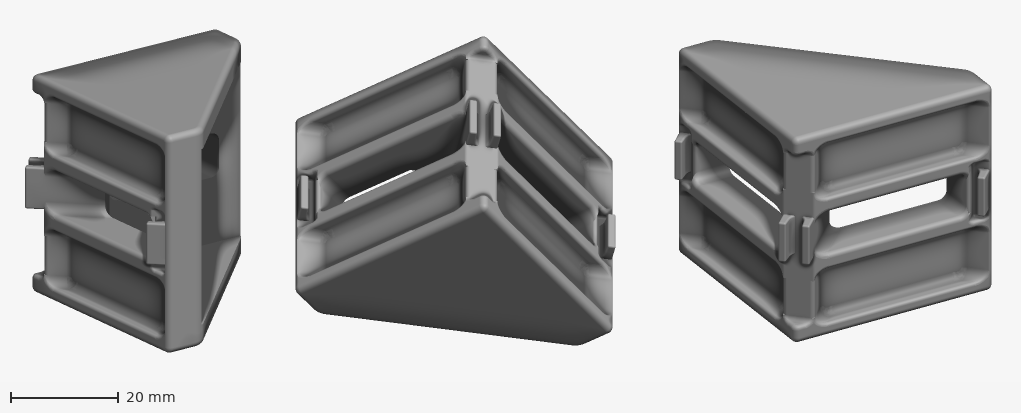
import cadquery as cq
import math

SIDE = 43.0
LEG_END = 8.0
OUTER_ROUND = 1.2
SLOPE_ROUND = 3.65
MIDDLE = SIDE / 2

WALL = 8.1
PLATE = 4.15

RIDGE = 4.25
FAR_EDGE = SIDE - 0.9

GROOVE_MARGIN = 3.65
GROOVE_ROUND = 0.9
GROOVE_LIP = 0.75

POCKET_DEPTH = 3.5
POCKET_MARGIN = 2.65
POCKET_HEIGHT = 11.47
POCKET_CORNER = 1.85
POCKET_FLOOR_ROUND = 1.4
POCKET_LIP = 0.65
RIDGE_ROUND = 0.75

SLOT_HEIGHT = 8.7
SLOT_END = 37.65
SLOT_CORNER = POCKET_CORNER
SLOT_LIP = 0.95

NOTCH_HEIGHT = 12.05
NOTCH_ROUND = 0.5
NOTCH_LIP = POCKET_LIP
WEDGE_ROUND = 0.55

TAB_HEIGHT = 8.2
TAB_TIP = -0.75
TAB_ROOT_START = 2.2
TAB_BACK_TIP = 2.18
TAB_BACK_ROOT = 1.9
TAB_BACK_BASE = -0.1
TAB_BASE = RIDGE + 0.7
TAB_ROUND = 0.35
TAB_PITCH = FAR_EDGE - RIDGE

OVERLAP = 1.35
SEARCH_GAP = 0.23


def plan(total, difference):
    """Plan point with x + y = total and x - y = difference."""
    return ((total + difference) / 2, (total - difference) / 2)


def prism(points, height):
    """Upright prism over a plan outline, centred on mid height."""
    return cq.Workplane("XY").workplane(offset=MIDDLE - height / 2).polyline(points).close().extrude(height)


def mirrored(shape):
    """Mirror about the vertical plane x = y."""
    return shape.mirror(cq.Vector(1, -1, 0), (0, 0, 0))


def upright_edge(x, y):
    return cq.selectors.NearestToPointSelector((x, y, MIDDLE))


def with_lip(cutter, radius):
    """Add a slab outside the face y = 0 and flare the cutter into it, which rounds the mouth it cuts."""
    slab = cq.Workplane("XY").box(3 * SIDE, 2 * OVERLAP, 3 * SIDE).translate((MIDDLE, -OVERLAP, MIDDLE))
    mouth = cq.selectors.BoxSelector((0, -SEARCH_GAP, 0), (SIDE, SEARCH_GAP, SIDE))
    return slab.union(cutter).edges(mouth).fillet(radius)


def edge_rounder(corner, angle_a, angle_b, radius, height):
    """Sliver between an upright edge and its rounding; the faces leave the edge at the two angles."""
    half = math.radians(angle_b - angle_a) / 2
    bisector = math.radians(angle_a + angle_b) / 2
    reach = radius / math.tan(half)

    def along(distance, angle):
        return (corner[0] + distance * math.cos(angle), corner[1] + distance * math.sin(angle))

    return (
        cq.Workplane("XY").workplane(offset=MIDDLE - height / 2)
        .moveTo(*along(reach, bisector - half))
        .threePointArc(along(radius / math.sin(half) - radius, bisector), along(reach, bisector + half))
        .lineTo(*along(-radius / 2, bisector))
        .close().extrude(height)
    )


def make_block():
    block = prism([(0, 0), (SIDE, 0), (SIDE, LEG_END), (LEG_END, SIDE), (0, SIDE)], SIDE)
    for x, y in [(SIDE, LEG_END), (LEG_END, SIDE)]:
        block = block.edges(upright_edge(x, y)).fillet(SLOPE_ROUND)
    for x, y in [(0, 0), (SIDE, 0), (0, SIDE)]:
        block = block.edges(upright_edge(x, y)).fillet(OUTER_ROUND)
    return block.faces("<Z or >Z").edges().fillet(OUTER_ROUND)


def make_cavity():
    rib = WALL + RIDGE
    far = 2 * SIDE
    return prism([(rib, WALL), (far, WALL), (far, far), (WALL, far), (WALL, rib)], SIDE - 2 * PLATE)


def cut_groove(block):
    """Cut the 45 degree groove along the block corner and round its rim."""
    height = SIDE - 2 * GROOVE_MARGIN
    groove = prism([plan(RIDGE, 3 * RIDGE), plan(RIDGE, -3 * RIDGE), (-RIDGE, -RIDGE)], height)
    groove = groove.faces(">(1,1,0)").edges("#Z").fillet(GROOVE_ROUND)
    block = block.cut(groove)
    low = (-SEARCH_GAP, -SEARCH_GAP, GROOVE_MARGIN - SEARCH_GAP)
    top = SIDE - GROOVE_MARGIN + SEARCH_GAP
    reach = RIDGE + SEARCH_GAP
    corner = OUTER_ROUND / 2
    front_lip = cq.selectors.BoxSelector(low, (reach, corner, top))
    side_lip = cq.selectors.BoxSelector(low, (corner, reach, top))
    return block.edges(front_lip + side_lip).fillet(GROOVE_LIP)


def make_pocket():
    depth = POCKET_DEPTH
    near = [(RIDGE - OVERLAP, -OVERLAP), (RIDGE + depth, depth)]
    far = [(FAR_EDGE - depth, depth), (FAR_EDGE + OVERLAP, -OVERLAP)]
    pocket = prism(near + far, POCKET_HEIGHT)
    pocket = pocket.edges("|(1,1,0) or |(1,-1,0)").fillet(POCKET_CORNER)
    pocket = pocket.faces(">Y").edges().fillet(POCKET_FLOOR_ROUND)
    return with_lip(pocket, POCKET_LIP)


def make_slot():
    back = WALL + OVERLAP
    near = [(RIDGE - OVERLAP, -OVERLAP), (RIDGE + back, back)]
    far = [(SLOT_END, back), (SLOT_END, -OVERLAP)]
    slot = prism(near + far, SLOT_HEIGHT)
    slot = slot.edges("|(1,1,0) or |Y").fillet(SLOT_CORNER)
    return with_lip(slot, SLOT_LIP)


def make_notch():
    bottom = plan(FAR_EDGE, SLOT_END)
    notch = prism([bottom, (FAR_EDGE + OVERLAP, -OVERLAP), (SLOT_END - OVERLAP, -OVERLAP)], NOTCH_HEIGHT)
    notch = notch.edges("not <Y").fillet(NOTCH_ROUND)
    return with_lip(notch, NOTCH_LIP)


def make_tab():
    tab = (
        cq.Workplane("XY").workplane(offset=MIDDLE - TAB_HEIGHT / 2)
        .moveTo(*plan(TAB_TIP, RIDGE))
        .lineTo(*plan(TAB_TIP, TAB_BACK_TIP))
        .lineTo(*plan(TAB_ROOT_START, TAB_BACK_ROOT))
        .tangentArcPoint(plan(TAB_BASE, TAB_BACK_BASE), relative=False)
        .lineTo(*plan(TAB_BASE, RIDGE))
        .close().extrude(TAB_HEIGHT)
    )
    rims = tab.edges("<Z or >Z").edges("not >(1,1,0)")
    tip_corners = tab.faces("<(1,1,0)").edges("|Z")
    return rims.add(tip_corners).fillet(TAB_ROUND)


def on_both_walls(shape):
    return [shape, mirrored(shape)]


pocket_shift = MIDDLE - POCKET_MARGIN - POCKET_HEIGHT / 2
straight_ridge = POCKET_HEIGHT - 2 * POCKET_CORNER
ridge_rounder = edge_rounder((RIDGE, 0), 45, 135, RIDGE_ROUND, straight_ridge)
wedge_rounder = edge_rounder((SLOT_END, 0), 45, 90, WEDGE_ROUND, SLOT_HEIGHT)

cutters = [make_slot(), make_notch(), wedge_rounder]
for shift in (-pocket_shift, pocket_shift):
    cutters.append(make_pocket().translate((0, 0, shift)))
    cutters.append(ridge_rounder.translate((0, 0, shift)))

result = cut_groove(make_block())
for cutter in cutters:
    for shape in on_both_walls(cutter):
        result = result.cut(shape)
result = result.cut(make_cavity())

for x in (0, TAB_PITCH):
    for tab in on_both_walls(make_tab().translate((x, 0, 0))):
        result = result.union(tab)